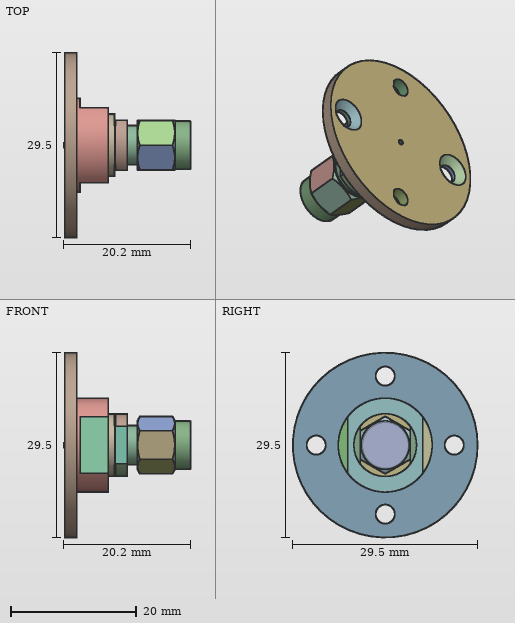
import cadquery as cq
import math


flange_diameter = 29.5
flange_thickness = 1.98
hole_circle_diameter = 22.0
hole_diameter = 3.0
countersink_diameter = 5.5
countersink_angle = 90.0

pin_diameter = 0.8
pin_height = 0.12

boss_diameter = 15.0
boss_length = 5.02
boss_across_flats = 12.0
boss_rim = 0.5

collar_diameter = 10.0
collar_length = 1.0
groove_width = 0.12
flatted_length = 1.92
flatted_across_flats = 8.0

neck_diameter = 6.3
neck_length = 1.55

nut_sides = 6
nut_across_flats = 7.95
nut_length = 6.02
nut_chamfer_length = 0.4
nut_recess_diameter = 7.25
nut_recess_depth = 1.0
nose_diameter = 7.73
nose_length = 2.5
nose_rounding = 0.2

boss_start = flange_thickness
collar_start = boss_start + boss_length
groove_start = collar_start + collar_length
flatted_start = groove_start + groove_width
neck_start = flatted_start + flatted_length
nut_start = neck_start + neck_length
nose_start = nut_start + nut_length


def cylinder(start, length, diameter):
    return cq.Workplane("YZ", origin=(start, 0, 0)).circle(diameter / 2).extrude(length)


def slab(start, length, across_flats, height):
    """Block centred on the axis whose sides form flats facing -Y and +Y."""
    return cq.Workplane("YZ", origin=(start, 0, 0)).rect(across_flats, height).extrude(length)


def flatted_cylinder(start, length, diameter, across_flats):
    return cylinder(start, length, diameter).intersect(slab(start, length, across_flats, diameter))


def flange():
    hole_circle_radius = hole_circle_diameter / 2
    countersunk_places = [(-hole_circle_radius, 0), (hole_circle_radius, 0)]
    plain_places = [(0, -hole_circle_radius), (0, hole_circle_radius)]
    disc = cylinder(0, flange_thickness, flange_diameter)
    disc = disc.faces("<X").workplane(origin=(0, 0, 0)).pushPoints(plain_places).hole(hole_diameter)
    return (
        disc.faces("<X")
        .workplane(origin=(0, 0, 0))
        .pushPoints(countersunk_places)
        .cskHole(hole_diameter, countersink_diameter, countersink_angle)
    )


def boss():
    rim = cylinder(boss_start, boss_rim, boss_diameter)
    flatted_start_on_boss = boss_start + boss_rim
    flatted = flatted_cylinder(
        flatted_start_on_boss, boss_length - boss_rim, boss_diameter, boss_across_flats
    )
    return rim.union(flatted)


def coupling_nut():
    across_corners = nut_across_flats / math.cos(math.pi / nut_sides)
    hexagon = (
        cq.Workplane("YZ", origin=(nut_start, 0, 0))
        .transformed(rotate=(0, 0, 90))
        .polygon(nut_sides, across_corners)
        .extrude(nut_length)
    )
    chamfer_depth = (across_corners - nose_diameter) / 2
    envelope = cylinder(nut_start, nut_length, across_corners)
    envelope = envelope.faces("<X").chamfer(nut_chamfer_length, chamfer_depth)
    envelope = envelope.faces(">X").chamfer(nut_chamfer_length, chamfer_depth)
    recess = cylinder(nut_start, nut_recess_depth, nut_recess_diameter)
    return hexagon.intersect(envelope).cut(recess)


def nose():
    return cylinder(nose_start, nose_length, nose_diameter).faces(">X").edges().fillet(nose_rounding)


result = (
    flange()
    .union(cylinder(-pin_height, pin_height, pin_diameter))
    .union(boss())
    .union(cylinder(collar_start, collar_length, collar_diameter))
    .union(cylinder(groove_start, groove_width, neck_diameter))
    .union(flatted_cylinder(flatted_start, flatted_length, collar_diameter, flatted_across_flats))
    .union(cylinder(neck_start, neck_length + nut_recess_depth, neck_diameter))
    .union(coupling_nut())
    .union(nose())
)